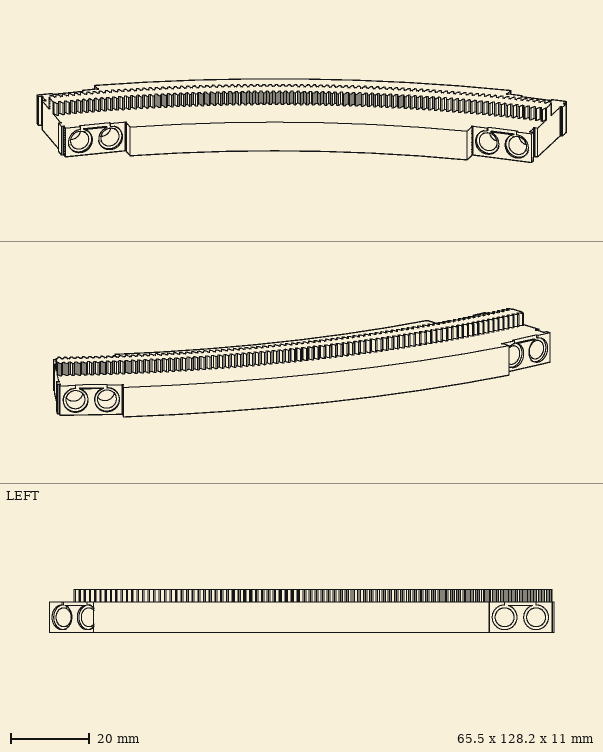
import cadquery as cq
import math

MODULE = 8.0
TRACK_RADIUS = 25 * MODULE
SWEEP = math.atan2(3, 4)
BODY_HEIGHT = 7.8
TOTAL_HEIGHT = 11.0
PLAY = 0.1

BLOCK_LENGTH = 2 * MODULE
BLOCK_HALF_WIDTH = 1.6 * MODULE - PLAY
DECK_HALF_WIDTH = 2 * MODULE - PLAY

LOCK_OFFSET = 9.8
TAB_DEPTH = 0.58
TAB_WIDTH = 2.7
NOTCH_DEPTH = 0.9
NOTCH_WIDTH = 3.0
RELIEF_RADIUS = 0.2

HOLE_DIAMETER = 4.8
HOLE_DEPTH = MODULE
HOLE_HEIGHT = BODY_HEIGHT / 2
HOLE_POSITIONS = (MODULE / 2, 3 * MODULE / 2)
RECESS_DIAMETER = 6.3
RECESS_DEPTH = 0.7
SLOT_RISE = 3.0

RACK_ROOT_HALF_WIDTH = 1.8
TOOTH_DEPTH = 1.3
TOOTH_COUNT = 81
TOOTH_ANGLE = SWEEP / TOOTH_COUNT
TIP_ANGLE = 0.25 * TOOTH_ANGLE
BASE_ANGLE = 0.74 * TOOTH_ANGLE


def polar(radius, angle):
    """Point at an angle along the track, measured from the near end face."""
    return TRACK_RADIUS - radius * math.cos(angle), radius * math.sin(angle)


def far_point(point):
    """Move a point from the near end to the matching place at the far end (half turn)."""
    x, y = point
    radius_x = TRACK_RADIUS + x
    cos_s, sin_s = math.cos(SWEEP), math.sin(SWEEP)
    return TRACK_RADIUS - radius_x * cos_s - y * sin_s, radius_x * sin_s - y * cos_s


def at_far_end(shape):
    """Copy a near-end feature to the far end, turned to face outwards."""
    turned = shape.rotate((0, 0, 0), (0, 0, 1), 180)
    return turned.rotate((TRACK_RADIUS, 0, 0), (TRACK_RADIUS, 0, 1), -math.degrees(SWEEP))


def body():
    """Curved deck with a straight, narrower block at each end."""
    outer = TRACK_RADIUS + DECK_HALF_WIDTH
    inner = TRACK_RADIUS - DECK_HALF_WIDTH
    outer_start = math.asin(BLOCK_LENGTH / outer)
    inner_start = math.asin(BLOCK_LENGTH / inner)
    left_end = (-BLOCK_HALF_WIDTH, 0)
    left_step = (-BLOCK_HALF_WIDTH, BLOCK_LENGTH)
    right_end = (BLOCK_HALF_WIDTH, 0)
    right_step = (BLOCK_HALF_WIDTH, BLOCK_LENGTH)
    return (
        cq.Workplane("XY")
        .moveTo(*left_end)
        .lineTo(*left_step)
        .lineTo(*polar(outer, outer_start))
        .threePointArc(polar(outer, SWEEP / 2), polar(outer, SWEEP - outer_start))
        .lineTo(*far_point(right_step))
        .lineTo(*far_point(right_end))
        .lineTo(*far_point(left_end))
        .lineTo(*far_point(left_step))
        .lineTo(*polar(inner, SWEEP - inner_start))
        .threePointArc(polar(inner, SWEEP / 2), polar(inner, inner_start))
        .lineTo(*right_step)
        .lineTo(*right_end)
        .close()
        .extrude(BODY_HEIGHT)
    )


def lock_prism(center_x, width, end_y):
    """Full-height block from the end face to end_y."""
    return (
        cq.Workplane("XY")
        .center(center_x, end_y / 2)
        .rect(width, abs(end_y))
        .extrude(BODY_HEIGHT)
    )


def corner_reliefs():
    """Upright round reliefs centred on the concave corners of one end."""
    notch_sides = (-LOCK_OFFSET - NOTCH_WIDTH / 2, -LOCK_OFFSET + NOTCH_WIDTH / 2)
    tab_sides = (LOCK_OFFSET - TAB_WIDTH / 2, LOCK_OFFSET + TAB_WIDTH / 2)
    corners = [(x, NOTCH_DEPTH) for x in notch_sides]
    corners += [(x, 0) for x in tab_sides]
    corners += [(-BLOCK_HALF_WIDTH, BLOCK_LENGTH), (BLOCK_HALF_WIDTH, BLOCK_LENGTH)]
    return cq.Workplane("XY").pushPoints(corners).circle(RELIEF_RADIUS).extrude(BODY_HEIGHT)


def pin_cutter(side):
    """Two recessed blind holes and the open slot joining them, on one side (-1 or +1)."""
    face = cq.Workplane("YZ", origin=(side * BLOCK_HALF_WIDTH, 0, 0))
    centers = [(y, HOLE_HEIGHT) for y in HOLE_POSITIONS]
    holes = face.pushPoints(centers).circle(HOLE_DIAMETER / 2).extrude(-side * HOLE_DEPTH)
    recesses = face.pushPoints(centers).circle(RECESS_DIAMETER / 2).extrude(-side * RECESS_DEPTH)
    slot_bottom = HOLE_HEIGHT + SLOT_RISE
    slot = (
        face.moveTo(HOLE_POSITIONS[0], slot_bottom)
        .lineTo(HOLE_POSITIONS[1], slot_bottom)
        .lineTo(HOLE_POSITIONS[1], BODY_HEIGHT)
        .lineTo(HOLE_POSITIONS[0], BODY_HEIGHT)
        .close()
        .extrude(-side * RECESS_DEPTH)
    )
    return holes.union(recesses).union(slot)


def toothed_edge(side):
    """Points along one toothed side of the rack: side is +1 outside, -1 inside."""
    root = TRACK_RADIUS + side * RACK_ROOT_HALF_WIDTH
    tip = root + side * TOOTH_DEPTH
    points = [polar(root, 0)]
    for tooth in range(TOOTH_COUNT):
        middle = (tooth + 0.5) * TOOTH_ANGLE
        points.append(polar(root, middle - BASE_ANGLE / 2))
        points.append(polar(tip, middle - TIP_ANGLE / 2))
        points.append(polar(tip, middle + TIP_ANGLE / 2))
        points.append(polar(root, middle + BASE_ANGLE / 2))
    points.append(polar(root, SWEEP))
    return points


def rack():
    """Two-sided rack, standing on the base plane and rising through the body."""
    outline = toothed_edge(1) + toothed_edge(-1)[::-1]
    return cq.Workplane("XY").polyline(outline).close().extrude(TOTAL_HEIGHT)


tab = lock_prism(LOCK_OFFSET, TAB_WIDTH, -TAB_DEPTH)
notch = lock_prism(-LOCK_OFFSET, NOTCH_WIDTH, NOTCH_DEPTH)

result = body().union(tab).union(at_far_end(tab))
for cutter in (notch, corner_reliefs(), pin_cutter(-1), pin_cutter(1)):
    result = result.cut(cutter).cut(at_far_end(cutter))
result = result.union(rack())